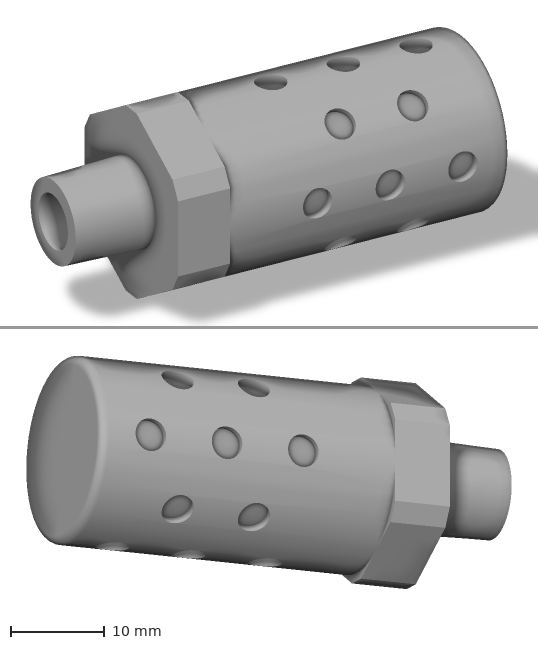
import cadquery as cq
import math

total_length = 50.3
stem_length = 9.55
hex_length = 6.4
hex_start = -total_length / 2 + stem_length
barrel_start = hex_start + hex_length
far_end = total_length / 2
barrel_length = far_end - barrel_start

barrel_diameter = 20.3
hex_across_flats = barrel_diameter
hex_across_cut_corners = 22.1
stem_tip_diameter = 9.8
stem_taper = 1 / 16
stem_base_diameter = stem_tip_diameter + stem_length * stem_taper
bore_diameter = 6.4
bore_depth = stem_length + hex_length
end_fillet = 0.9

vent_diameter = 3.55
vent_depth = 1.0
vent_pitch = 8.9
vent_end_distance = 5.85
row_count = 8
row_angle = 360 / row_count


def cross_section(y):
    """Workplane across the axis at y, with its normal along +Y."""
    return cq.Workplane(cq.Plane(origin=(0, y, 0), xDir=(1, 0, 0), normal=(0, 1, 0)))


def make_hexagon():
    """Hexagon with flats facing +X and -X and its six corners cut flat."""
    def prism(across_flats, first_corner_angle):
        across_corners = across_flats / math.cos(math.radians(30))
        return (
            cross_section(hex_start)
            .polygon(6, across_corners)
            .extrude(hex_length)
            .rotate((0, 0, 0), (0, 1, 0), first_corner_angle)
        )

    return prism(hex_across_flats, 30).intersect(prism(hex_across_cut_corners, 0))


def make_barrel():
    barrel = cross_section(barrel_start).circle(barrel_diameter / 2).extrude(barrel_length)
    return barrel.faces(">Y").edges().fillet(end_fillet)


def make_stem():
    return (
        cross_section(hex_start - stem_length)
        .circle(stem_tip_diameter / 2)
        .workplane(offset=stem_length)
        .circle(stem_base_diameter / 2)
        .loft()
    )


def make_bore():
    return cross_section(hex_start - stem_length).circle(bore_diameter / 2).extrude(bore_depth)


def make_vent_row(hole_count, first_distance, angle):
    """Radial holes through the barrel wall, along one line parallel to Y."""
    centres = [(0, far_end - first_distance - i * vent_pitch) for i in range(hole_count)]
    return (
        cq.Workplane("XY")
        .pushPoints(centres)
        .circle(vent_diameter / 2)
        .extrude(barrel_diameter)
        .rotate((0, 0, 0), (0, 1, 0), angle)
    )


def make_core():
    """Solid cylinder inside the barrel that closes the vents at their depth."""
    core_radius = barrel_diameter / 2 - vent_depth
    return cross_section(barrel_start).circle(core_radius).extrude(barrel_length - vent_depth)


core = make_core()
result = make_barrel().union(make_hexagon()).union(make_stem()).cut(make_bore())
for row in range(row_count):
    if row % 2 == 0:
        vents = make_vent_row(3, vent_end_distance, row * row_angle)
    else:
        vents = make_vent_row(2, vent_end_distance + vent_pitch / 2, row * row_angle)
    result = result.cut(vents.cut(core))